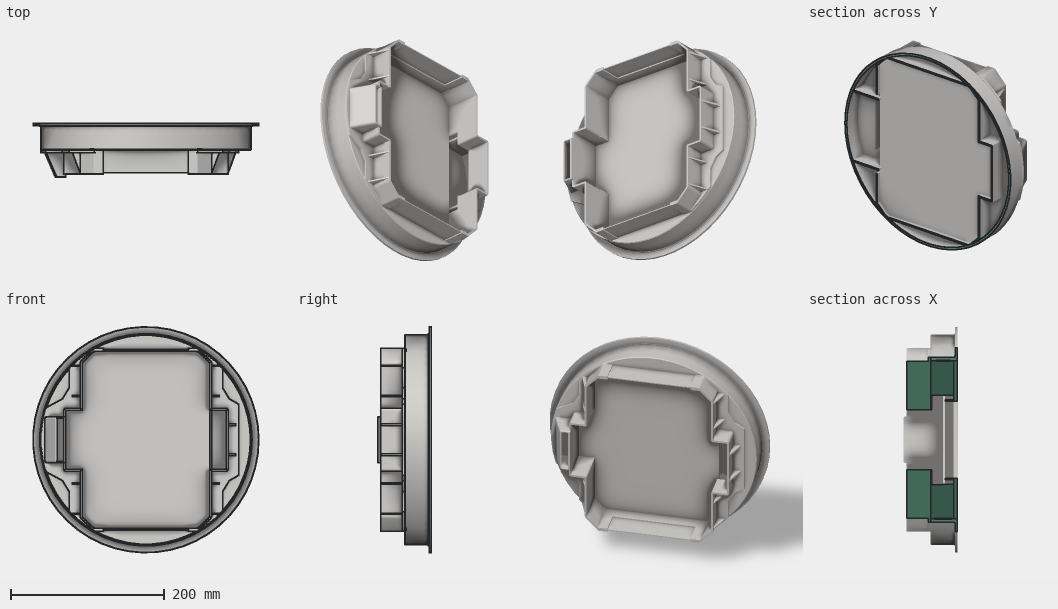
import cadquery as cq
import math


flange_radius = 147.0
collar_radius = 138.2
shell_radius = 137.0
shell_inner_radius = 133.0
flange_depth = 3.0
collar_depth = 4.0
shell_depth = 35.0
front_wall = 2.0
rim_chamfer = 1.0

wall = 2.6
opening_half_x = 83.0
opening_half_z = 114.9
corner_cut = 14.8
bay_half_x = 104.3
bay_half_z = 38.6

lid_depth = 5.0
lid_groove_depth = 0.5
lid_edge_radius = 4.5

tray_floor_depth = 18.5
tray_gap_half_z = 57.6
tray_gap_radius = 2.4
pocket_half_z = 49.7

plate_front = 38.0
bracket_front = 66.0
bracket_half_z = 119.4
bracket_end_x = 55.4
bay_corner_radius = 3.5
cut_corner_radius = 5.0
end_corner_radius = 3.5
bay_mouth_radius = 2.5
rib_length = 10.0
wall_rib_thickness = 1.9
bay_rib_thickness = 2.5
rib_front = 65.0
wall_rib_heights = (96.3, 57.2)
bay_rib_height = 19.6

plate_shoulder_x = 99.8
plate_shoulder_z = 67.5
plate_bend_x = 108.7
plate_bend_z = 53.1
right_plate_tip = (120.9, 46.2)
left_plate_tip = (shell_radius, 38.0)

panel_inner_z = 116.7
panel_thickness = 1.3
panel_front = 64.6

hood_half_z = 30.2
hood_base_x = -131.6
hood_tip_x = -117.8
hood_front = 70.0
hood_wall = 2.2
hood_side_radius = 3.5
hood_tip_radius = 1.8


def plane_at(depth):
    """Workplane facing -Y at a depth; its axes are X and Z."""
    return cq.Workplane("XZ", origin=(0, -depth, 0))


def slab(points, start, end):
    return plane_at(start).polyline(points).close().extrude(end - start)


def disc(radius, start, end):
    return plane_at(start).circle(radius).extrude(end - start)


def block(x_range, z_range, start, end):
    """Box between two X and two Z values."""
    x_min, x_max = x_range
    z_min, z_max = z_range
    return slab([(x_min, z_min), (x_max, z_min), (x_max, z_max), (x_min, z_max)], start, end)


def nearest(x, y, z):
    return cq.selectors.NearestToPointSelector((x, y, z))


def mirrored_in_z(upper_points):
    """Close an outline by repeating its points below the X axis."""
    return upper_points + [(x, -z) for x, z in reversed(upper_points)]


def side_outline(offset, half_z, end_x, side):
    """Right or left half of the opening, grown outwards by an offset."""
    half_x = opening_half_x + offset
    cut_sum = opening_half_x + opening_half_z - corner_cut + offset * math.sqrt(2)
    upper = [
        (end_x, half_z),
        (cut_sum - half_z, half_z),
        (half_x, cut_sum - half_x),
        (half_x, bay_half_z + offset),
        (bay_half_x + offset, bay_half_z + offset),
    ]
    return mirrored_in_z([(side * x, z) for x, z in upper])


def opening_half(offset, start, end, side):
    return slab(side_outline(offset, opening_half_z + offset, 0, side), start, end)


def make_housing():
    shell = disc(shell_radius, 0, shell_depth).faces("<Y").edges().chamfer(rim_chamfer)
    housing = shell.union(disc(flange_radius, 0, flange_depth)).union(disc(collar_radius, 0, collar_depth))
    housing = housing.cut(disc(shell_inner_radius, 0, shell_depth - front_wall))
    for side in (-1, 1):
        housing = housing.cut(opening_half(wall, shell_depth - front_wall, shell_depth, side))
    return housing


def make_lid():
    """Rear disc with a groove whose outer edge is rounded, beside the right bay."""
    lid = disc(shell_inner_radius, 0, lid_depth)
    groove_edge_x = opening_half_x + wall
    groove = block((opening_half_x, groove_edge_x + lid_edge_radius), (-pocket_half_z, pocket_half_z),
                   lid_groove_depth, lid_depth)
    rounded_edge = (
        cq.Workplane("XY", origin=(0, 0, -pocket_half_z))
        .center(groove_edge_x + lid_edge_radius, -lid_groove_depth)
        .circle(lid_edge_radius).extrude(2 * pocket_half_z)
    )
    return lid.cut(groove.cut(rounded_edge))


def make_tray():
    """Pan with a bay on the left, and a walled pocket reaching the lid on the right."""
    pocket_outer_z = pocket_half_z + wall
    tray = opening_half(wall, lid_depth, shell_depth, -1)
    tray = tray.cut(opening_half(0, tray_floor_depth, shell_depth, -1))
    tray = tray.cut(opening_half(0, lid_depth, tray_floor_depth - wall, -1))

    right = opening_half(wall, lid_depth, shell_depth, 1)
    right = right.cut(opening_half(0, tray_floor_depth, shell_depth, 1))
    right = right.cut(opening_half(0, lid_depth, tray_floor_depth - wall, 1))
    right = right.cut(block((opening_half_x, shell_radius), (-tray_gap_half_z, tray_gap_half_z),
                            lid_depth, shell_depth - front_wall))
    for side in (-1, 1):
        wall_end = nearest(opening_half_x, -(tray_floor_depth + shell_depth) / 2, side * tray_gap_half_z)
        right = right.edges(wall_end).fillet(tray_gap_radius)
    tray = tray.union(right)
    for side in (-1, 1):
        z_range = sorted((side * pocket_half_z, side * pocket_outer_z))
        tray = tray.union(block((opening_half_x + wall, shell_radius), z_range,
                                lid_depth, shell_depth - front_wall))
        foot_x = (opening_half_x - wall, opening_half_x + wall)
        tray = tray.union(block(foot_x, z_range, lid_depth, tray_floor_depth - wall))
    envelope = disc(shell_inner_radius, lid_depth, shell_depth - front_wall)
    for side in (-1, 1):
        envelope = envelope.union(opening_half(wall, shell_depth - front_wall, shell_depth, side))
    return tray.intersect(envelope)


def make_rib(x, z, thickness, side):
    """Triangular rib standing on the plate against a wall."""
    return (
        cq.Workplane("XY", origin=(0, 0, z - thickness / 2))
        .polyline([(x, -plate_front), (x + side * rib_length, -plate_front), (x, -rib_front)])
        .close().extrude(thickness)
    )


def make_bracket(side, upper_plate_edge, bay_ribs):
    """Upright wall around one side of the opening, on a plate trimmed to the housing."""
    outer = slab(side_outline(wall, bracket_half_z, bracket_end_x, side), shell_depth, bracket_front)
    outer_x = side * (opening_half_x + wall)
    bay_x = side * (bay_half_x + wall)
    cut_corner_z = opening_half_z - corner_cut + wall * (math.sqrt(2) - 1)
    middle_y = -(shell_depth + bracket_front) / 2
    cut_end_x = side * (opening_half_x + wall + cut_corner_z - bracket_half_z)
    for z_side in (-1, 1):
        for x, corner_z, radius in ((cut_end_x, bracket_half_z, end_corner_radius),
                                    (outer_x, cut_corner_z, cut_corner_radius),
                                    (bay_x, bay_half_z + wall, bay_corner_radius)):
            outer = outer.edges(nearest(x, middle_y, z_side * corner_z)).fillet(radius)

    plate = slab(mirrored_in_z(upper_plate_edge), shell_depth, plate_front)
    plate = plate.intersect(disc(shell_radius, shell_depth, plate_front))
    bracket = outer.union(plate)
    inner = slab(side_outline(0, opening_half_z, 0, side), shell_depth, bracket_front)
    for x, radius in ((bay_half_x, bay_corner_radius - wall), (opening_half_x, bay_mouth_radius)):
        for z in (-bay_half_z, bay_half_z):
            inner = inner.edges(nearest(side * x, middle_y, z)).fillet(radius)
    bracket = bracket.cut(inner)

    for z_side in (-1, 1):
        for height in wall_rib_heights:
            bracket = bracket.union(make_rib(outer_x, z_side * height, wall_rib_thickness, side))
        if bay_ribs:
            bracket = bracket.union(make_rib(bay_x, z_side * bay_rib_height, bay_rib_thickness, side))
    return bracket


def make_panel(side):
    z_range = sorted((side * panel_inner_z, side * (panel_inner_z + panel_thickness)))
    return block((-bracket_end_x, bracket_end_x), z_range, shell_depth, panel_front)


def make_hood():
    """Sloping cover open at the front, closed by the bay wall and a raised rim on it."""
    outer_bay_x = -(bay_half_x + wall)
    profile = [
        (hood_base_x, -plate_front),
        (hood_tip_x, -hood_front),
        (-bay_half_x, -hood_front),
        (-bay_half_x, -bracket_front),
        (outer_bay_x, -bracket_front),
        (outer_bay_x, -plate_front),
    ]
    hood = (
        cq.Workplane("XY", origin=(0, 0, -hood_half_z))
        .polyline(profile).close().extrude(2 * hood_half_z)
    )
    slope_x = (hood_base_x + hood_tip_x) / 2
    slope_y = -(plate_front + hood_front) / 2
    for side in (-1, 1):
        hood = hood.edges(nearest(slope_x, slope_y, side * hood_half_z)).fillet(hood_side_radius)
    hood = hood.edges(nearest(hood_tip_x, -hood_front, 0)).fillet(hood_tip_radius)

    inner_half_z = hood_half_z - hood_wall
    cavity = (
        cq.Workplane("XY", origin=(0, 0, -inner_half_z))
        .polyline([
            (hood_base_x + hood_wall, -plate_front),
            (hood_tip_x + hood_wall, -hood_front),
            (outer_bay_x, -hood_front),
            (outer_bay_x, -plate_front),
        ]).close().extrude(2 * inner_half_z)
    )
    return hood.cut(cavity)


def plate_edge(side, tip):
    """Upper half of a plate's free edge, from the bracket's end to a tip beside the bay."""
    upper = [
        (bracket_end_x, bracket_half_z),
        (plate_shoulder_x, bracket_half_z),
        (plate_shoulder_x, plate_shoulder_z),
        (plate_bend_x, plate_bend_z),
    ]
    return [(side * x, z) for x, z in upper + [tip]]


housing = make_housing()
lid = make_lid()
tray = make_tray()
left_bracket = make_bracket(-1, plate_edge(-1, left_plate_tip), bay_ribs=False)
right_bracket = make_bracket(1, plate_edge(1, right_plate_tip), bay_ribs=True)
panels = [make_panel(side) for side in (-1, 1)]
hood = make_hood()

result = cq.Compound.makeCompound([
    housing.val(),
    lid.val(),
    tray.val(),
    left_bracket.val(),
    right_bracket.val(),
    *[panel.val() for panel in panels],
    hood.val(),
])